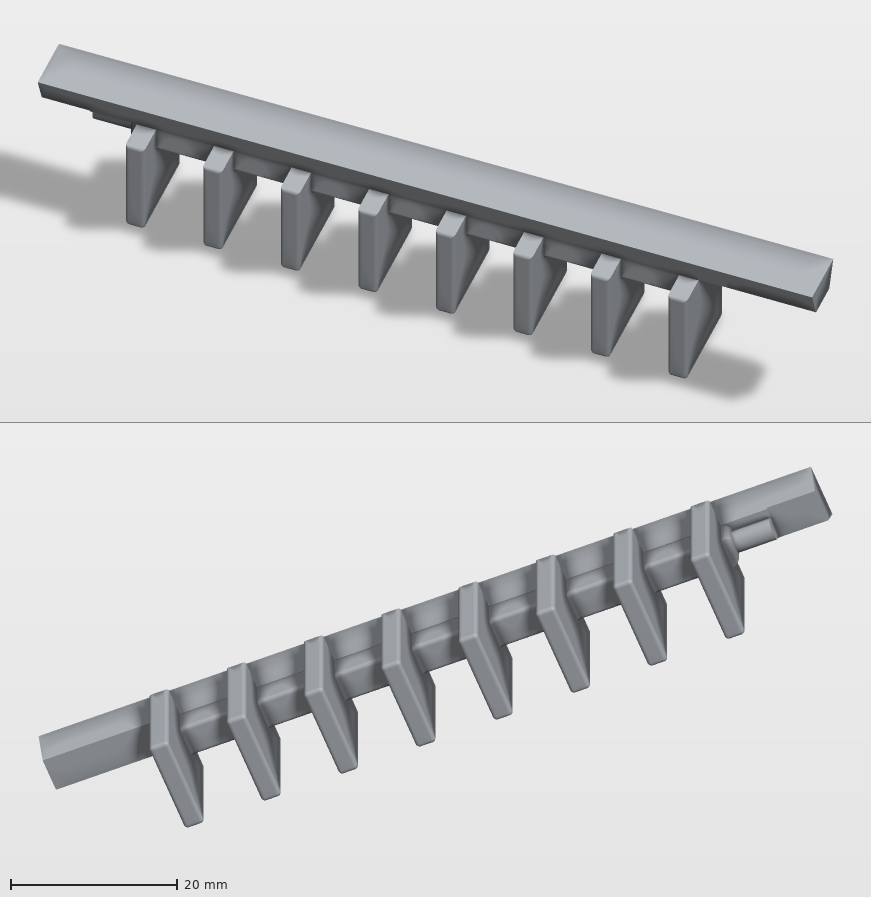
import cadquery as cq
import math

overall_height = 17.5

rail_length = 99.95
rail_top_width = 7.0
rail_deep_bottom_width = 4.2
rail_deep_height = 4.0
rail_end_height = 3.8

fin_count = 8
fin_pitch = 10.0
first_fin_x = 13.485
fin_thickness = 2.5
fin_width = 12.0
fin_edge_radius = 0.5
fin_top_radius = 0.4

beam_width = 4.0
beam_bottom_z = 10.0
beam_nose_radius = 1.1
beam_edge_radius = 0.5
beam_root_radius = 0.5

pin_diameter = 2.7
pin_length = 4.9
pin_axis_z = 12.15

fin_height = overall_height - rail_deep_height
rail_flank_slope = (rail_top_width - rail_deep_bottom_width) / 2 / rail_deep_height
first_fin_face_x = first_fin_x - fin_thickness / 2
beam_tip_x = first_fin_face_x - beam_nose_radius
pin_start_x = beam_tip_x - pin_length
last_fin_x = first_fin_x + (fin_count - 1) * fin_pitch
fin_gap = fin_pitch - fin_thickness


def make_rail_bar(start_x, end_x, height):
    """Trapezoidal bar, wide side up, hanging down by height from the top of the part."""
    half_top = rail_top_width / 2
    half_bottom = half_top - height * rail_flank_slope
    bottom_z = overall_height - height
    return (
        cq.Workplane("YZ", origin=(start_x, 0, 0))
        .moveTo(-half_bottom, bottom_z)
        .lineTo(half_bottom, bottom_z)
        .lineTo(half_top, overall_height)
        .lineTo(-half_top, overall_height)
        .close()
        .extrude(end_x - start_x)
    )


def make_rail():
    """Full-length rail, slightly deeper between the pin tip and the last fin."""
    full_bar = make_rail_bar(0, rail_length, rail_end_height)
    deep_bar = make_rail_bar(pin_start_x, last_fin_x + fin_thickness / 2, rail_deep_height)
    return full_bar.union(deep_bar).clean()


def make_fin(center_x):
    """Upright plate with rounded sides and bottom; its top is rounded only at the two ends."""
    plate = (
        cq.Workplane("XY")
        .center(center_x, 0)
        .rect(fin_thickness, fin_width)
        .extrude(fin_height)
        .edges("|Z or <Z")
        .fillet(fin_edge_radius)
    )
    round_top_envelope = (
        cq.Workplane("XY")
        .center(center_x, 0)
        .rect(fin_thickness, fin_width)
        .extrude(fin_height)
        .edges("|X and >Z")
        .fillet(fin_top_radius)
    )
    return plate.intersect(round_top_envelope)


def make_beam_nose():
    """End of the beam before the first fin: rounded sides and underside, blended into the fin below."""
    nose_center_z = beam_bottom_z + beam_nose_radius
    center_distance = beam_nose_radius + beam_root_radius
    root_center_x = first_fin_face_x - beam_root_radius
    root_center_z = nose_center_z - math.sqrt(center_distance**2 - beam_root_radius**2)
    tangent_share = beam_nose_radius / center_distance
    tangent_x = first_fin_face_x + (root_center_x - first_fin_face_x) * tangent_share
    tangent_z = nose_center_z + (root_center_z - nose_center_z) * tangent_share
    side_profile = (
        cq.Workplane("XZ")
        .moveTo(first_fin_x, fin_height)
        .lineTo(beam_tip_x, fin_height)
        .lineTo(beam_tip_x, nose_center_z)
        .radiusArc((tangent_x, tangent_z), -beam_nose_radius)
        .radiusArc((first_fin_face_x, root_center_z), beam_root_radius)
        .lineTo(first_fin_x, root_center_z)
        .close()
        .extrude(beam_width / 2, both=True)
    )
    nose_length = first_fin_x - beam_tip_x
    plan_outline = (
        cq.Workplane("XY")
        .center(beam_tip_x + nose_length / 2, 0)
        .rect(nose_length, beam_width)
        .extrude(fin_height)
        .edges("|Z and <X")
        .fillet(beam_nose_radius)
    )
    return side_profile.intersect(plan_outline)


def make_beam_span(start_x):
    """Beam between two fin centers, blended into both fins and rounded along its lower edges."""
    left_face_x = start_x + fin_thickness / 2
    right_face_x = left_face_x + fin_gap
    root_z = beam_bottom_z - beam_root_radius
    span = (
        cq.Workplane("XZ")
        .moveTo(start_x, fin_height)
        .lineTo(start_x, root_z)
        .lineTo(left_face_x, root_z)
        .radiusArc((left_face_x + beam_root_radius, beam_bottom_z), beam_root_radius)
        .lineTo(right_face_x - beam_root_radius, beam_bottom_z)
        .radiusArc((right_face_x, root_z), beam_root_radius)
        .lineTo(start_x + fin_pitch, root_z)
        .lineTo(start_x + fin_pitch, fin_height)
        .close()
        .extrude(beam_width / 2, both=True)
    )
    underside = cq.selectors.BoxSelector(
        (left_face_x, -beam_width, root_z - beam_root_radius),
        (right_face_x, beam_width, beam_bottom_z + beam_root_radius),
    )
    return span.edges(underside).edges("<Y or >Y").fillet(beam_edge_radius)


def make_pin():
    """Round pin standing out from the nose of the beam."""
    return (
        cq.Workplane("YZ", origin=(pin_start_x, 0, pin_axis_z))
        .circle(pin_diameter / 2)
        .extrude(first_fin_x - pin_start_x)
    )


result = make_rail().union(make_beam_nose()).union(make_pin())
for index in range(fin_count):
    result = result.union(make_fin(first_fin_x + index * fin_pitch))
for index in range(fin_count - 1):
    result = result.union(make_beam_span(first_fin_x + index * fin_pitch))